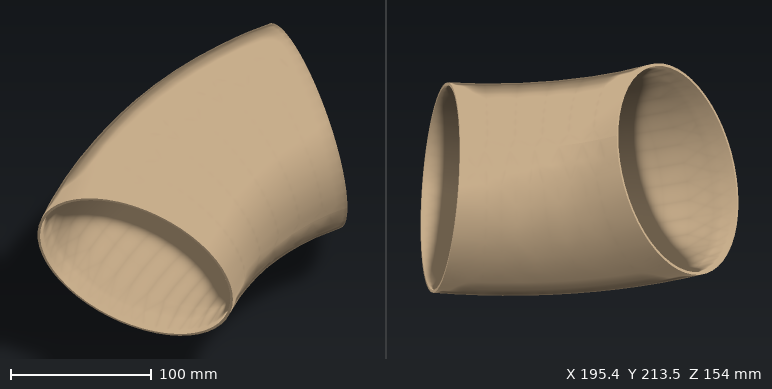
import cadquery as cq
import math

bend_angle = 45.0
bend_radius = 225.0
inlet_diameter = 150.0
outlet_diameter = 154.0
wall = 2.0

angle = math.radians(bend_angle)


def centreline_point(a):
    """Point on the centreline after turning through angle a from the inlet."""
    return (bend_radius * (1 - math.cos(a)), bend_radius * math.sin(a))


def round_section(diameter, a):
    """Circle square to the centreline after turning through angle a."""
    x, y = centreline_point(a)
    centre = cq.Vector(x, y, 0)
    direction = cq.Vector(math.sin(a), math.cos(a), 0)
    return cq.Wire.makeCircle(diameter / 2, centre, direction)


def tapered_bend(start_diameter, end_diameter):
    """Solid bend whose round section changes evenly from the inlet to the outlet."""
    path = cq.Workplane("XY").threePointArc(centreline_point(angle / 2), centreline_point(angle))
    sections = [round_section(start_diameter, 0), round_section(end_diameter, angle)]
    return cq.Workplane(cq.Solid.sweep_multi(sections, path.val()))


outer = tapered_bend(inlet_diameter, outlet_diameter)
bore = tapered_bend(inlet_diameter - 2 * wall, outlet_diameter - 2 * wall)

result = outer.cut(bore)